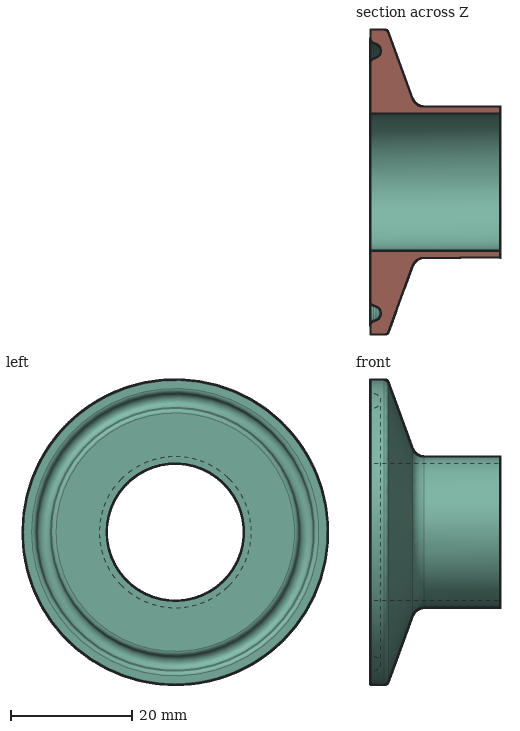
import cadquery as cq
import math

length = 21.5
flange_radius = 25.25
tube_radius = 12.5
bore_radius = 11.3

rim_width = 2.9
cone_angle = 20.0
rim_fillet = 0.8
neck_fillet = 2.0
face_edge_fillet = 0.2

groove_radius = 21.7
groove_half_width = 2.0
groove_lip_radius = 0.8
groove_wall_angle = 70.0
groove_wall_length = 0.45


def flange_and_tube():
    """Revolved body with its rim and neck edges rounded."""
    cone_length = (flange_radius - tube_radius) * math.tan(math.radians(cone_angle))
    neck_x = rim_width + cone_length
    body = (
        cq.Workplane("XY")
        .moveTo(0, bore_radius)
        .lineTo(0, flange_radius)
        .lineTo(rim_width, flange_radius)
        .lineTo(neck_x, tube_radius)
        .lineTo(length, tube_radius)
        .lineTo(length, bore_radius)
        .close()
        .revolve(360, (0, 0, 0), (1, 0, 0))
    )
    body = round_edge(body, neck_x, tube_radius, neck_fillet)
    body = round_edge(body, rim_width, flange_radius, rim_fillet)
    return round_edge(body, 0, flange_radius, face_edge_fillet)


def round_edge(body, x, radius, fillet):
    """Fillet the circular edge that passes through (x, radius)."""
    match_tolerance = 0.005
    circles = [
        edge for edge in body.edges("%CIRCLE").vals()
        if abs(edge.Center().x - x) < match_tolerance
        and abs(edge.radius() - radius) < match_tolerance
    ]
    return body.newObject(circles).fillet(fillet)


def gasket_groove():
    """Ring whose section has a bottom arc, two tangent sloped walls and a lip arc on each side."""
    slope = math.radians(groove_wall_angle)
    wall_depth = groove_wall_length * math.sin(slope)
    wall_run = groove_wall_length * math.cos(slope)
    bottom_radius = (groove_half_width - wall_run) / math.sin(slope) - groove_lip_radius
    groove_depth = wall_depth + (groove_lip_radius + bottom_radius) * (1 - math.cos(slope))

    def lip_point(angle, side):
        x = groove_lip_radius * (1 - math.cos(angle))
        offset = groove_half_width - groove_lip_radius * math.sin(angle)
        return (x, groove_radius + side * offset)

    def wall_foot(side):
        x, radius = lip_point(slope, side)
        return (x + wall_depth, radius - side * wall_run)

    return (
        cq.Workplane("XY")
        .moveTo(*lip_point(0, -1))
        .threePointArc(lip_point(slope / 2, -1), lip_point(slope, -1))
        .lineTo(*wall_foot(-1))
        .threePointArc((groove_depth, groove_radius), wall_foot(1))
        .lineTo(*lip_point(slope, 1))
        .threePointArc(lip_point(slope / 2, 1), lip_point(0, 1))
        .close()
        .revolve(360, (0, 0, 0), (1, 0, 0))
    )


result = flange_and_tube().cut(gasket_groove())